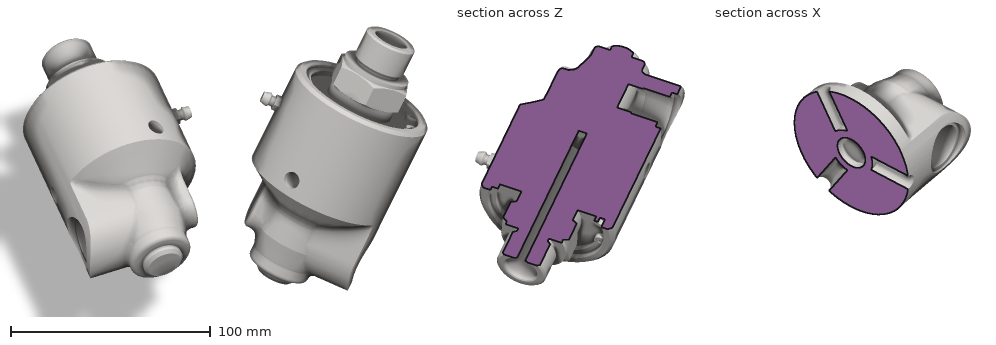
import cadquery as cq
import math


THREAD_DIA = 26.5
THREAD_END = 14.5
THREAD_CHAMFER = 1.0
NECK_DIA = 23.9
NECK_CONE_END = 16.0
SHAFT_DIA = 35.0
COLLAR_START = 17.3
HEX_START = 19.3
HEX_END = 32.3
HEX_FLATS = 35.8
HEX_BEVEL_ANGLE = 27.0
BORE_DIA = 17.5
BORE_DEPTH = 83.2
BORE_CHAMFER = 0.5

BODY_DIA = 73.0
BODY_START = 33.6
BODY_CHAMFER = 1.8
CONE_START = 87.1
CONE_END = 100.0
CONE_OVERRUN = 11.1
BARREL_DIA = 39.1
BARREL_END = 116.2
TAIL_DIA = 32.2
TAIL_START = 127.9
TAIL_END = 134.5
TAIL_FILLET = 2.1
PLUG_DIA = 20.7
PLUG_CHAMFER = 1.7
TOTAL_LENGTH = 138.7
CONE_FILLET = 5.8

RECESS_DIA = 62.0
RECESS_DEPTH = 5.0
RECESS_CHAMFER = 0.5
RING_INNER_DIA = 55.8
RING_THICKNESS = 2.8
EAR_Y = -28.7
EAR_Z = 8.5
EAR_RADIUS = 3.6
EAR_HOLE_DIA = 2.8

PORT_X = 110.5
PORT_BOSS_WIDTH = 37.9
PORT_BOSS_FILLET = 2.8
PORT_HOLE_X = 111.1
PORT_SEAT_DIA = 27.7
PORT_SEAT_DEPTH = 3.9
PORT_DIA = 23.5
PORT_DEPTH = 18.3
PORT_INNER_DIA = 22.6
INNER_TUBE_DIA = 27.0
BACK_BOSS_WIDTH = 19.7
BACK_BOSS_HEIGHT = 25.5
BACK_BOSS_FILLET = 5.5
BACK_BOSS_ROUNDING = 2.0

WEEP_DIA = 8.6
WEEP_X = 79.1
WEEP_COUNT = 3

NIPPLE_X = 55.2
NIPPLE_ROOT = 35.1
NIPPLE_HEX_FLATS = 7.2
NIPPLE_HEX_TOP = 39.1
NIPPLE_NECK_DIA = 5.4
NIPPLE_NECK_TOP = 41.2
NIPPLE_HEAD_DIA = 7.2
NIPPLE_HEAD_START = 42.0
NIPPLE_HEAD_EDGE = 42.6
NIPPLE_TOP = 45.6

BODY_R = BODY_DIA / 2
BARREL_R = BARREL_DIA / 2
RECESS_FLOOR = BODY_START + RECESS_DEPTH
CONE_ROOT = CONE_START - CONE_OVERRUN
CONE_ROOT_R = BODY_R + CONE_OVERRUN * (BODY_R - BARREL_R) / (CONE_END - CONE_START)

MARGIN = 0.1


def turned(points):
    """Revolve an (x, radius) outline about the X axis."""
    return cq.Workplane("XY").polyline(points).close().revolve(360, (0, 0, 0), (1, 0, 0))


def cylinder_x(diameter, start, end):
    return cq.Workplane("YZ").workplane(offset=start).circle(diameter / 2).extrude(end - start)


def cylinder_y(diameter, x, start, end):
    return cq.Workplane("XZ", origin=(x, start, 0)).circle(diameter / 2).extrude(start - end)


def slot_boss(width, start_x, end_y):
    """Boss from the axis towards end_y, flat-sided, with a round end centred on the port."""
    half = width / 2
    outline = (
        cq.Workplane("XZ")
        .moveTo(start_x, -half)
        .lineTo(PORT_X, -half)
        .threePointArc((PORT_X + half, 0), (PORT_X, half))
        .lineTo(start_x, half)
        .close()
    )
    return outline.extrude(-end_y)


def around(value):
    return (value - MARGIN, value + MARGIN)


def inside(x_range, y_range, half_z):
    """Selector for edges lying wholly inside a box centred on z = 0."""
    return cq.selectors.BoxSelector(
        (x_range[0], y_range[0], -half_z), (x_range[1], y_range[1], half_z), boundingbox=True
    )


def make_rear_core():
    """Cone, barrel and tail; the cone runs on past the housing so that fillets on it end cleanly."""
    core = turned([
        (CONE_ROOT, 0),
        (CONE_ROOT, CONE_ROOT_R),
        (CONE_END, BARREL_R),
        (BARREL_END, BARREL_R),
        (TAIL_START, TAIL_DIA / 2),
        (TAIL_END, TAIL_DIA / 2),
        (TAIL_END, 0),
    ])
    corner = inside(around(CONE_END), (-BODY_R, BODY_R), BODY_R)
    core = core.edges(corner).fillet(CONE_FILLET)
    return core.faces(">X").edges().fillet(TAIL_FILLET)


def add_back_boss(core):
    """Blind boss on +Y, blended at its foot and then rounded along its top rim."""
    half = BACK_BOSS_WIDTH / 2
    core = core.union(slot_boss(BACK_BOSS_WIDTH, CONE_START, BACK_BOSS_HEIGHT))
    lowest = math.sqrt(BARREL_R ** 2 - half ** 2)
    reach = (CONE_START + MARGIN, PORT_X + half + MARGIN)
    region = inside(reach, (lowest - MARGIN, BACK_BOSS_HEIGHT + MARGIN), half + MARGIN)
    top = inside((CONE_START + MARGIN, TAIL_END), around(BACK_BOSS_HEIGHT), BODY_R)
    upright = inside(around(PORT_X), (0, BODY_R), half + MARGIN)
    core = core.edges(region - top - upright).fillet(BACK_BOSS_FILLET)
    return core.edges(top).fillet(BACK_BOSS_ROUNDING)


def add_port_boss(core):
    """Overlong port boss on -Y, blended into the cone, barrel and tail."""
    half = PORT_BOSS_WIDTH / 2
    core = core.union(slot_boss(PORT_BOSS_WIDTH, CONE_ROOT, -CONE_ROOT_R))
    reach = (CONE_ROOT + MARGIN, PORT_X + half + MARGIN)
    region = inside(reach, (-CONE_ROOT_R + MARGIN, 0), half + MARGIN)
    upright = inside(around(PORT_X), (-CONE_ROOT_R - MARGIN, 0), half + MARGIN)
    return core.edges(region - upright).fillet(PORT_BOSS_FILLET)


def make_housing():
    """Rear end trimmed to the body diameter, joined to the body with its front recess."""
    rear = add_port_boss(make_rear_core())
    rear = rear.intersect(cylinder_x(BODY_DIA, CONE_START, TAIL_END))
    body = cylinder_x(BODY_DIA, BODY_START, CONE_START).faces("<X").edges().chamfer(BODY_CHAMFER)
    recess = turned([
        (BODY_START, 0),
        (BODY_START, RECESS_DIA / 2 + RECESS_CHAMFER),
        (BODY_START + RECESS_CHAMFER, RECESS_DIA / 2),
        (RECESS_FLOOR, RECESS_DIA / 2),
        (RECESS_FLOOR, 0),
    ])
    return add_back_boss(rear.union(body)).cut(recess)


def make_plug():
    """Chamfered plug closing the tail."""
    plug = cylinder_x(PLUG_DIA, TAIL_END, TOTAL_LENGTH)
    return plug.faces(">X").edges().chamfer(PLUG_CHAMFER)


def make_nozzle():
    """Threaded stem, collar and shaft, with a bevelled hexagon for a spanner."""
    thread_r = THREAD_DIA / 2
    neck_r = NECK_DIA / 2
    shaft_r = SHAFT_DIA / 2
    stem = turned([
        (0, 0),
        (0, thread_r - THREAD_CHAMFER),
        (THREAD_CHAMFER, thread_r),
        (THREAD_END, thread_r),
        (NECK_CONE_END, neck_r),
        (COLLAR_START, neck_r),
        (COLLAR_START, shaft_r),
        (RECESS_FLOOR, shaft_r),
        (RECESS_FLOOR, 0),
    ])
    corner_r = HEX_FLATS / math.sqrt(3)
    hexagon = (
        cq.Workplane("YZ")
        .workplane(offset=HEX_START)
        .polygon(6, 2 * corner_r)
        .extrude(HEX_END - HEX_START)
        .rotate((0, 0, 0), (1, 0, 0), 90)
    )
    bevel = (corner_r - shaft_r) * math.tan(math.radians(HEX_BEVEL_ANGLE))
    envelope = turned([
        (HEX_START, 0),
        (HEX_START, shaft_r),
        (HEX_START + bevel, corner_r),
        (HEX_END - bevel, corner_r),
        (HEX_END, shaft_r),
        (HEX_END, 0),
    ])
    return stem.union(hexagon.intersect(envelope))


def make_ring():
    """Open retaining ring on the recess floor, with an eyelet at each end of the gap."""
    plane = cq.Workplane("YZ").workplane(offset=RECESS_FLOOR - RING_THICKNESS)
    ears = [(EAR_Y, EAR_Z), (EAR_Y, -EAR_Z)]
    ring = plane.circle(RECESS_DIA / 2).circle(RING_INNER_DIA / 2).extrude(RING_THICKNESS)
    gap = plane.center(-BODY_R, 0).rect(BODY_R, 2 * EAR_Z).extrude(RING_THICKNESS)
    limit = plane.circle(RECESS_DIA / 2).extrude(RING_THICKNESS)
    eyelets = plane.pushPoints(ears).circle(EAR_RADIUS).extrude(RING_THICKNESS).intersect(limit)
    ear_holes = plane.pushPoints(ears).circle(EAR_HOLE_DIA / 2).extrude(RING_THICKNESS)
    return ring.cut(gap).union(eyelets).cut(ear_holes)


def make_nipple():
    """Grease nipple: hexagon rooted in the body wall, neck and flared head."""
    hexagon = (
        cq.Workplane("XZ", origin=(NIPPLE_X, NIPPLE_ROOT, 0))
        .polygon(6, NIPPLE_HEX_FLATS * 2 / math.sqrt(3))
        .extrude(-(NIPPLE_HEX_TOP - NIPPLE_ROOT))
        .rotate((NIPPLE_X, 0, 0), (NIPPLE_X, 1, 0), 90)
    )
    neck_r = NIPPLE_NECK_DIA / 2
    head_r = NIPPLE_HEAD_DIA / 2
    head = (
        cq.Workplane("XY", origin=(NIPPLE_X, 0, 0))
        .moveTo(0, NIPPLE_HEX_TOP)
        .lineTo(neck_r, NIPPLE_HEX_TOP)
        .lineTo(neck_r, NIPPLE_NECK_TOP)
        .lineTo(head_r, NIPPLE_HEAD_START)
        .lineTo(head_r, NIPPLE_HEAD_EDGE)
        .lineTo(neck_r, NIPPLE_TOP)
        .lineTo(0, NIPPLE_TOP)
        .close()
        .revolve(360, (0, 0, 0), (0, 1, 0))
    )
    return hexagon.union(head)


def port_cut():
    """Stepped port bored in from -Y down to the tube on the X axis."""
    seat = cylinder_y(PORT_SEAT_DIA, PORT_HOLE_X, -BODY_R, -BODY_R + PORT_SEAT_DEPTH)
    hole = cylinder_y(PORT_DIA, PORT_HOLE_X, -BODY_R, -BODY_R + PORT_DEPTH)
    inner = cylinder_y(PORT_INNER_DIA, PORT_HOLE_X, -BODY_R, 0)
    return seat.union(hole).union(inner).cut(cylinder_x(INNER_TUBE_DIA, CONE_START, TAIL_END))


def nozzle_bore():
    """Blind bore along X with a chamfered mouth."""
    bore = cylinder_x(BORE_DIA, 0, BORE_DEPTH)
    lip = turned([
        (0, 0),
        (0, BORE_DIA / 2 + BORE_CHAMFER),
        (BORE_CHAMFER, BORE_DIA / 2),
        (BORE_CHAMFER, 0),
    ])
    return bore.union(lip)


def weep_holes():
    """Radial holes, evenly spaced, drilled down to the tube on the X axis."""
    first = cylinder_y(WEEP_DIA, WEEP_X, -BODY_R, 0)
    holes = first
    for i in range(1, WEEP_COUNT):
        holes = holes.union(first.rotate((0, 0, 0), (1, 0, 0), 360 / WEEP_COUNT * i))
    return holes.cut(cylinder_x(INNER_TUBE_DIA, BODY_START, TAIL_END))


result = make_housing().union(make_plug()).union(make_nozzle()).union(make_ring()).union(make_nipple())
result = result.cut(nozzle_bore()).cut(port_cut()).cut(weep_holes())